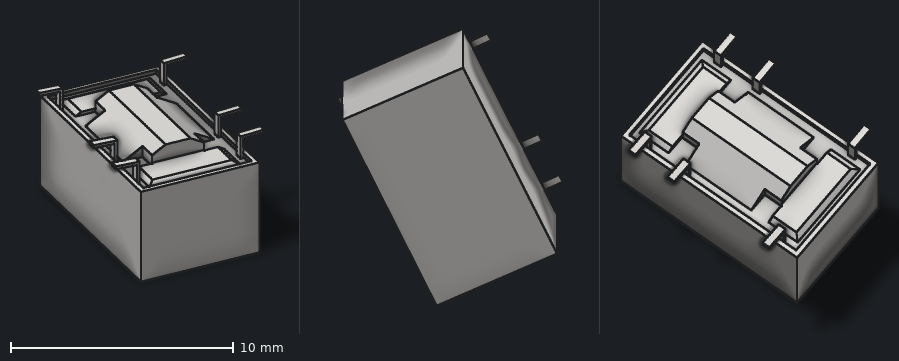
import cadquery as cq
import math

case_length = 10.0
case_width = 6.0
case_height = 4.65
rim_width = 0.27
tray_depth = 0.2
floor_z = case_height - tray_depth

base_length = 8.98
base_width = 4.6
slope_tangent = math.tan(math.radians(29.5))
pad_chamfer = 0.3
pad_height = pad_chamfer * slope_tangent

ridge_length = 5.6
ridge_top_width = 1.26
ridge_height = (base_width - ridge_top_width) / 2 * slope_tangent

notch_inner_x = 1.86
notch_outer_x = 2.84
notch_inner_y = 1.31

lead_x_positions = (-3.8, 1.6, 3.8)
lead_width = 0.4
leg_thickness = 0.14
foot_thickness = 0.15
lead_inner_y = 2.55
lead_tip_y = 3.75
lead_top_z = 5.65
lead_tilt = math.radians(2.8)


def make_case():
    case = cq.Workplane("XY").box(case_length, case_width, case_height, centered=(True, True, False))
    tray = (
        cq.Workplane("XY", origin=(0, 0, floor_z))
        .rect(case_length - 2 * rim_width, case_width - 2 * rim_width)
        .extrude(tray_depth)
    )
    return case.cut(tray)


def make_pad():
    """Low plateau with sloping sides, which forms the two end pads."""
    return (
        cq.Workplane("XY", origin=(0, 0, floor_z))
        .rect(base_length, base_width)
        .workplane(offset=pad_height)
        .rect(base_length - 2 * pad_chamfer, base_width - 2 * pad_chamfer)
        .loft(ruled=True)
    )


def make_ridge():
    """Trapezoid section run along X."""
    return (
        cq.Workplane("YZ", origin=(-ridge_length / 2, 0, floor_z))
        .polyline([
            (-base_width / 2, 0),
            (base_width / 2, 0),
            (ridge_top_width / 2, ridge_height),
            (-ridge_top_width / 2, ridge_height),
        ])
        .close()
        .extrude(ridge_length)
    )


def make_notches():
    """Four pockets down to the tray floor, open to the long sides of the base."""
    notch_length = notch_outer_x - notch_inner_x
    notch_depth = base_width / 2 - notch_inner_y
    return (
        cq.Workplane("XY", origin=(0, 0, floor_z))
        .rect(notch_inner_x + notch_outer_x, notch_inner_y + base_width / 2, forConstruction=True)
        .vertices()
        .rect(notch_length, notch_depth)
        .extrude(ridge_height)
    )


def make_lead(x_center):
    """Upright leg from the tray floor, bent outward to a slightly rising foot."""
    tip_top_y = lead_tip_y - foot_thickness * math.sin(lead_tilt)
    tip_bottom_z = lead_top_z - foot_thickness * math.cos(lead_tilt)
    leg_outer_y = lead_inner_y + leg_thickness
    bend_top_z = lead_top_z - (tip_top_y - lead_inner_y) * math.tan(lead_tilt)
    bend_bottom_z = tip_bottom_z - (lead_tip_y - leg_outer_y) * math.tan(lead_tilt)
    return (
        cq.Workplane("YZ", origin=(x_center, 0, 0))
        .polyline([
            (lead_inner_y, floor_z),
            (lead_inner_y, bend_top_z),
            (tip_top_y, lead_top_z),
            (lead_tip_y, tip_bottom_z),
            (leg_outer_y, bend_bottom_z),
            (leg_outer_y, floor_z),
        ])
        .close()
        .extrude(lead_width / 2, both=True)
    )


base = make_pad().union(make_ridge()).cut(make_notches())
result = make_case().union(base)

for lead_x in lead_x_positions:
    lead = make_lead(lead_x)
    result = result.union(lead).union(lead.mirror("XZ"))